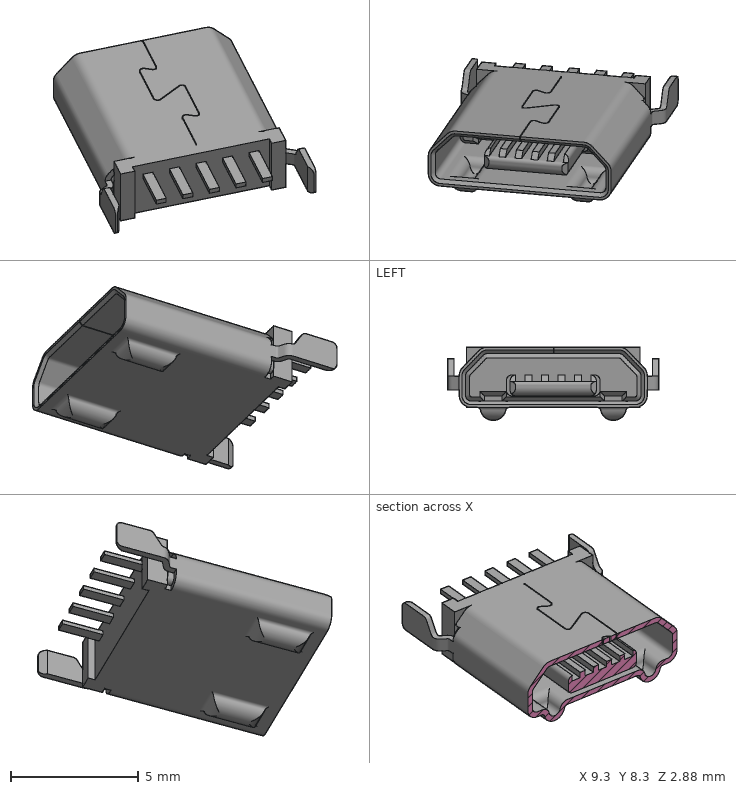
import cadquery as cq
import math

total_length = 9.3
total_width = 8.3
shell_height = 2.37

sheet = 0.25
shell_length = 6.85
shell_half_width = 3.7
corner_radius = 0.48
side_wall_top = 1.24
top_flat_half_width = 2.59
mouth_chamfer = 0.14
mouth_chamfer_angle = 45.0

seam_gap = 0.03
seam_neck_x = 2.0
seam_tail_half_height = 0.71
seam_slope = 0.6
seam_corner_radius = 0.15

bump_depth = 0.51
bump_radius = 0.51
bump_y = 2.36
bump_centre_x = 1.67
bump_half_straight = 0.59
bump_root_radius = 0.14

relief_inner_y = 3.16
relief_front = 6.59
upper_relief_top = 1.76

housing_front = 4.09
housing_chamfer = 0.17
housing_half_width = 3.41
housing_back = 7.4
ear_back = 7.69
ear_inner_y = 2.83
latch_slot_width = 0.7
latch_slot_top = 0.46
latch_slot_depth = 0.93

tongue_tip = 0.94
tongue_half_width = 1.69
tongue_root_half_width = 1.84
tongue_root_length = 0.19
tongue_bottom = 0.46
tongue_top = 1.27
tongue_edge_radius = 0.21
tip_face_bottom = 0.77
tip_face_top = 0.865
tip_corner_x = 0.15
tip_corner_y = 0.21
contact_floor = 1.02
contact_pitch = 0.65
contact_slot_width = 0.38
contact_count = 5

pin_pitch = 1.1
pin_width = 0.41
pin_thickness = 0.195
pin_top = 1.89
pin_end = 9.11

tab_bottom = 0.68
tab_top = 1.925
tab_corner_radius = 0.23
tab_neck_end = 7.37
tab_shoulder_x = 7.78
tab_bend_x = 6.86
tab_bend_angle = 60.0
tab_inner_bend_radius = 0.09
tab_tip_length = 0.31
tab_tip_thickness = 0.08


def block(x0, x1, y0, y1, z0, z1):
    """Axis-aligned box between two opposite corners."""
    return cq.Workplane("XY").box(x1 - x0, y1 - y0, z1 - z0, centered=False).translate((x0, y0, z0))


def mirrored(solid):
    """The solid together with its mirror image across the XZ plane."""
    return solid.union(solid.mirror("XZ"))


def shell_outline(x, inset):
    """Rounded six-sided shell outline at X = x, moved inward by inset."""
    side = shell_half_width - corner_radius
    roof = shell_height - corner_radius
    corner_arc_centres = [
        (-side, corner_radius),
        (side, corner_radius),
        (side, side_wall_top),
        (top_flat_half_width, roof),
        (-top_flat_half_width, roof),
        (-side, side_wall_top),
    ]
    plane = cq.Workplane("YZ", origin=(x, 0, 0))
    return plane.polyline(corner_arc_centres).close().offset2D(corner_radius - inset)


def seam_cutter():
    """Thin dovetail-shaped gap, point-symmetric about the middle of the roof."""
    mid = shell_length / 2
    tail = seam_tail_half_height
    half_path = [
        (seam_neck_x, 0),
        (seam_neck_x - seam_slope * tail, -tail),
        (mid + seam_slope * tail, -tail),
    ]
    other_half = [(2 * mid - x, -y) for x, y in reversed(half_path)]
    margin = 0.93
    start = -margin
    end = shell_length + margin
    far_side = shell_half_width
    region = [(start, 0)] + half_path + other_half + [(end, 0), (end, far_side), (start, far_side)]
    roof_inside = shell_height - sheet
    base = cq.Workplane("XY", origin=(0, 0, roof_inside))
    one_side = base.polyline(region).close().extrude(sheet).edges("|Z").fillet(seam_corner_radius)
    grown = one_side.faces("<Z").wires().toPending().offset2D(seam_gap).extrude(sheet)
    roof = block(0, shell_length, -top_flat_half_width, top_flat_half_width, roof_inside, shell_height)
    return grown.cut(one_side).intersect(roof)


def bump_outline(plane, half_straight, radius, root_radius, level):
    """Bump outline: flat bottom, arcs at both ends and root fillets running out into the plane Z = level."""
    centre_z = bump_radius - bump_depth
    root_z = level - root_radius
    reach = math.sqrt((radius + root_radius) ** 2 - (centre_z - root_z) ** 2)
    share = radius / (radius + root_radius)
    join_x = half_straight + reach * share
    join_z = centre_z + (root_z - centre_z) * share
    join_angle = math.atan2(centre_z - root_z, reach)
    arc_angle = (join_angle + math.pi / 2) / 2
    arc_x = half_straight + radius * math.cos(arc_angle)
    arc_z = centre_z - radius * math.sin(arc_angle)
    root_angle = (math.pi - join_angle + math.pi / 2) / 2
    root_x = half_straight + reach + root_radius * math.cos(root_angle)
    root_mid_z = root_z + root_radius * math.sin(root_angle)
    end_x = half_straight + reach
    bottom = centre_z - radius
    outline = (
        plane.moveTo(-end_x, level)
        .threePointArc((-root_x, root_mid_z), (-join_x, join_z))
        .threePointArc((-arc_x, arc_z), (-half_straight, bottom))
    )
    if half_straight > 0:
        outline = outline.lineTo(half_straight, bottom)
    return (
        outline.threePointArc((arc_x, arc_z), (join_x, join_z))
        .threePointArc((root_x, root_mid_z), (end_x, level))
        .close()
    )


def bump_solid(radius, root_radius, level):
    """Pillow shape where the lengthwise and crosswise bump outlines meet."""
    half_size = bump_half_straight + 2 * bump_radius
    lengthwise_plane = cq.Workplane("XZ", origin=(bump_centre_x, bump_y, 0))
    crosswise_plane = cq.Workplane("YZ", origin=(bump_centre_x, bump_y, 0))
    lengthwise = bump_outline(lengthwise_plane, bump_half_straight, radius, root_radius, level)
    crosswise = bump_outline(crosswise_plane, 0, radius, root_radius, level)
    return lengthwise.extrude(half_size, both=True).intersect(crosswise.extrude(half_size, both=True))


def make_shell():
    """Folded sheet tube with a flared mouth, roof seam, rear reliefs and two floor bumps."""
    shell = shell_outline(0, 0).extrude(shell_length)
    shell = shell.cut(shell_outline(0, sheet).extrude(shell_length))
    mouth = shell_outline(0, sheet - mouth_chamfer)
    shell = shell.cut(mouth.extrude(mouth_chamfer, taper=mouth_chamfer_angle))
    shell = shell.cut(seam_cutter())
    side = shell_half_width
    reliefs = [
        block(relief_front, shell_length, relief_inner_y, side, 0, tab_bottom),
        block(relief_front, shell_length, relief_inner_y, side, side_wall_top, upper_relief_top),
    ]
    for relief in reliefs:
        shell = shell.cut(mirrored(relief))
    outer_bump = bump_solid(bump_radius, bump_root_radius, 0)
    inner_bump = bump_solid(bump_radius - sheet, bump_root_radius + sheet, sheet)
    return shell.union(mirrored(outer_bump)).cut(mirrored(inner_bump))


def make_housing():
    """Core filling the rear of the shell, with latch slots, a back plate and two rear ears."""
    core = shell_outline(housing_front, sheet).extrude(shell_length - housing_front)
    slot = block(
        housing_front,
        housing_front + latch_slot_depth,
        bump_y - latch_slot_width / 2,
        bump_y + latch_slot_width / 2,
        0,
        latch_slot_top,
    )
    core = core.cut(mirrored(slot)).faces("<X").chamfer(housing_chamfer)
    plate = block(shell_length, housing_back, -housing_half_width, housing_half_width, 0, shell_height)
    ear = block(shell_length, ear_back, ear_inner_y, housing_half_width, 0, shell_height)
    return core.union(plate).union(mirrored(ear))


def make_tongue():
    """Contact tongue with a rounded tip, a wider root and a row of contact slots."""
    height = tongue_top - tongue_bottom
    back = housing_front + housing_chamfer
    root_front = housing_front - tongue_root_length
    half_root = tongue_root_half_width
    tongue = block(tongue_tip, back, -tongue_half_width, tongue_half_width, tongue_bottom, tongue_top)
    root = block(root_front, back, -half_root, half_root, tongue_bottom, tongue_top)
    root = root.edges("|X").fillet(tongue_edge_radius)
    tongue = tongue.edges("|X").fillet(tongue_edge_radius)
    nose_rise = contact_floor - tip_face_top
    rib_rise = tongue_top - contact_floor
    nose_drop = tip_face_bottom - tongue_bottom
    side_profile = (
        cq.Workplane("XZ")
        .moveTo(tongue_tip, tip_face_bottom)
        .lineTo(tongue_tip, tip_face_top)
        .radiusArc((tongue_tip + nose_rise, contact_floor), nose_rise)
        .lineTo(tongue_tip + nose_rise + rib_rise, tongue_top)
        .lineTo(back, tongue_top)
        .lineTo(back, tongue_bottom)
        .lineTo(tongue_tip + nose_drop, tongue_bottom)
        .radiusArc((tongue_tip, tip_face_bottom), nose_drop)
        .close()
        .extrude(tongue_half_width, both=True)
    )
    tongue = tongue.intersect(side_profile)
    corner = (
        cq.Workplane("XY", origin=(0, 0, tongue_bottom))
        .moveTo(tongue_tip, tongue_half_width)
        .lineTo(tongue_tip + tip_corner_x, tongue_half_width)
        .lineTo(tongue_tip, tongue_half_width - tip_corner_y)
        .close()
        .extrude(height)
    )
    tongue = tongue.cut(mirrored(corner)).union(root)
    for index in range(contact_count):
        y = (index - (contact_count - 1) / 2) * contact_pitch
        half = contact_slot_width / 2
        tongue = tongue.cut(block(tongue_tip, housing_front, y - half, y + half, contact_floor, tongue_top))
    return tongue


def make_pins():
    """Row of straight solder pins leaving the back plate."""
    pins = cq.Workplane("XY")
    for index in range(contact_count):
        y = (index - (contact_count - 1) / 2) * pin_pitch
        half = pin_width / 2
        pins = pins.union(block(shell_length, pin_end, y - half, y + half, pin_top - pin_thickness, pin_top))
    return pins


def make_tab():
    """Solder tab continuing the +Y shell wall: an S-bend outward, then a rounded blade with a thinned tip."""
    wall_outer = shell_half_width
    wall_inner = wall_outer - sheet
    blade_outer = total_width / 2
    blade_inner = blade_outer - sheet
    bend_run = (blade_outer - wall_outer) / math.tan(math.radians(tab_bend_angle))
    miter = sheet * math.tan(math.radians(tab_bend_angle / 2))
    inner_bends = [(tab_bend_x, wall_outer), (tab_bend_x + bend_run + miter, blade_inner)]
    outer_bends = [(tab_bend_x + bend_run, blade_outer), (tab_bend_x + miter, wall_inner)]
    plan = [
        (relief_front, wall_outer),
        inner_bends[0],
        outer_bends[0],
        (total_length, blade_outer),
        (total_length, blade_outer - tab_tip_thickness),
        (total_length - tab_tip_length, blade_inner),
        inner_bends[1],
        outer_bends[1],
        (relief_front, wall_inner),
    ]
    strip = cq.Workplane("XY", origin=(0, 0, tab_bottom)).polyline(plan).close().extrude(tab_top - tab_bottom)
    outer_bend_radius = tab_inner_bend_radius + sheet
    mid_z = (tab_bottom + tab_top) / 2
    for bends, radius in ((inner_bends, tab_inner_bend_radius), (outer_bends, outer_bend_radius)):
        for x, y in bends:
            strip = strip.edges(cq.selectors.NearestToPointSelector((x, y, mid_z))).fillet(radius)
    side_outline = [
        (relief_front, tab_bottom),
        (total_length, tab_bottom),
        (total_length, tab_top),
        (tab_shoulder_x, tab_top),
        (tab_neck_end, side_wall_top),
        (relief_front, side_wall_top),
    ]
    blade = cq.Workplane("XZ").polyline(side_outline).close().extrude(-total_width / 2)
    blade = blade.edges("|Y").edges("not <X").fillet(tab_corner_radius)
    return strip.intersect(blade)


result = (
    make_shell()
    .union(make_housing())
    .union(make_tongue())
    .union(make_pins())
    .union(mirrored(make_tab()))
)